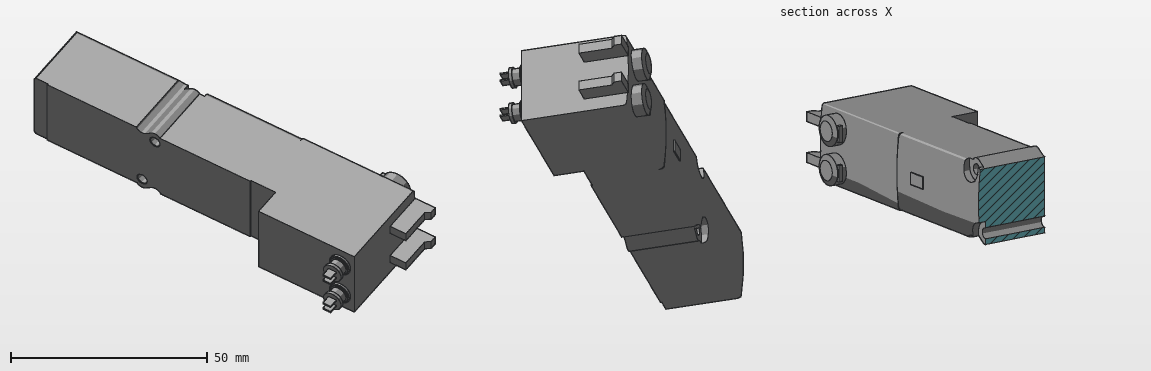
import cadquery as cq
import math

total_length = 108.5
half_height = 10.3
rear_y = 20.8

cap_length = 4.1
set_back = 0.3
body_step_x = 65.9
base_start_x = 68.8
block_start_x = 73.3
block_end_x = 102.4
block_front_y = -7.6
body_crown_drop = 0.8
base_crown_drop = 0.5
body_corner_radius = 1.3
base_corner_radius = 0.9
end_bevel_length = 0.5
end_bevel_height = 0.7

mount_mid_x = 34.9
mount_offset_x = 2.0
mount_hole_z = 8.0
mount_hole_dia = 2.8
mount_mouth_dia = 3.1
counterbore_dia = 6.1
counterbore_floor_y = 18.5
side_radius = 2.0
boss_rise = 0.8
notch_depth = 1.1

plate_x = 59.7
plate_length = 5.2
plate_width = 3.3
plate_y = 21.2

pair_z = 5.2
plug_x = 95.3
plug_dia = 8.1
plug_top_y = 24.1
plug_top_dia = 5.3
plug_bevel_height = 0.7
plug_tab_width = 4.3
plug_tab_height = 1.2
plug_tab_reach = 0.3
plug_tab_y = 22.7

connector_x = 98.3
connector_foot_dia = 6.1
connector_foot_height = 0.7
connector_shoulder_dia = 5.3
connector_shoulder_height = 0.3
connector_neck_dia = 4.5
connector_neck_height = 2.1
connector_rim_dia = 5.3
connector_rim_height = 0.9
blade_offset = 1.0
blade_width = 2.4
blade_thickness = 0.4
blade_length = 2.6

hook_z = 5.4
hook_width = 2.6
hook_shank_x = 107.2
hook_bottom_y = 9.1
hook_slope_y = 17.9
hook_lip_y = 18.9


def along_y(x, y, z):
    """Workplane at the given point whose normal is +Y."""
    return cq.Workplane(cq.Plane(origin=(x, y, z), xDir=(1, 0, 0), normal=(0, 1, 0)))


def box_between(x_range, y_range, z_range):
    (x0, x1), (y0, y1), (z0, z1) = x_range, y_range, z_range
    return cq.Workplane("XY").box(x1 - x0, y1 - y0, z1 - z0, centered=False).translate((x0, y0, z0))


def crowned_bar(start_x, end_x, front_y, crown_drop, corner_radius):
    """Straight bar with a crowned rear face and rounded rear corners."""
    shoulder_y = rear_y - crown_drop
    bar = (
        cq.Workplane("YZ", origin=(start_x, 0, 0))
        .moveTo(front_y, -half_height)
        .lineTo(shoulder_y, -half_height)
        .threePointArc((rear_y, 0), (shoulder_y, half_height))
        .lineTo(front_y, half_height)
        .close()
        .extrude(end_x - start_x)
    )
    return bar.edges("|X").edges(">Y").fillet(corner_radius)


def housing():
    body = crowned_bar(0, base_start_x, 0, body_crown_drop, body_corner_radius)
    cap_step = box_between((0, cap_length), (0, set_back), (-half_height, half_height))
    neck_step = box_between((body_step_x, base_start_x), (0, set_back), (-half_height, half_height))
    base = crowned_bar(base_start_x, block_end_x, set_back, base_crown_drop, base_corner_radius)
    block = box_between((block_start_x, block_end_x), (block_front_y, set_back), (-half_height, half_height))
    return body.cut(cap_step).cut(neck_step).union(base).union(block)


def end_bevel():
    """Wedge removed from the upper edge of the end cap."""
    return (
        cq.Workplane("XZ")
        .polyline([(0, half_height), (end_bevel_length, half_height), (0, half_height - end_bevel_height)])
        .close()
        .extrude(-rear_y)
    )


def side_form():
    """Upper-side boss and notch: two equal arcs joined by their inner tangent line."""
    notch_x = mount_mid_x - mount_offset_x
    boss_x = mount_mid_x + mount_offset_x
    notch_z = half_height - notch_depth + side_radius
    boss_z = half_height + boss_rise - side_radius
    dx = boss_x - notch_x
    dz = boss_z - notch_z
    slope = math.atan2(dz, dx) + math.asin(2 * side_radius / math.hypot(dx, dz))
    shift_x = side_radius * math.sin(slope)
    shift_z = side_radius * math.cos(slope)
    notch_tangent = (notch_x + shift_x, notch_z - shift_z)
    boss_tangent = (boss_x - shift_x, boss_z + shift_z)
    middle_z = (notch_z + boss_z) / 2
    crossing_x = mount_mid_x + (half_height - middle_z) / math.tan(slope)
    notch_half = math.sqrt(side_radius**2 - (notch_z - half_height) ** 2)
    boss_half = math.sqrt(side_radius**2 - (half_height - boss_z) ** 2)

    notch = (
        cq.Workplane("XZ")
        .moveTo(notch_x - notch_half, half_height)
        .threePointArc((notch_x, half_height - notch_depth), notch_tangent)
        .lineTo(crossing_x, half_height)
        .close()
        .extrude(-rear_y)
    )
    boss = (
        cq.Workplane("XZ")
        .moveTo(crossing_x, half_height)
        .lineTo(*boss_tangent)
        .threePointArc((boss_x, half_height + boss_rise), (boss_x + boss_half, half_height))
        .close()
        .extrude(-counterbore_floor_y)
    )
    return boss, notch


def mounting_hole():
    """Through hole with a beveled front mouth and a rear counterbore open to the side."""
    hole_x = mount_mid_x + mount_offset_x
    mouth_depth = (mount_mouth_dia - mount_hole_dia) / 2
    hole = along_y(hole_x, 0, mount_hole_z).circle(mount_hole_dia / 2).extrude(rear_y)
    mouth = (
        along_y(hole_x, 0, mount_hole_z)
        .circle(mount_mouth_dia / 2)
        .workplane(offset=mouth_depth)
        .circle(mount_hole_dia / 2)
        .loft()
    )
    pocket_depth = rear_y - counterbore_floor_y
    pocket_floor = along_y(hole_x, counterbore_floor_y, mount_hole_z)
    counterbore = pocket_floor.circle(counterbore_dia / 2).extrude(pocket_depth)
    side_opening = box_between(
        (hole_x - counterbore_dia / 2, hole_x + counterbore_dia / 2),
        (counterbore_floor_y, rear_y),
        (mount_hole_z, half_height),
    )
    return hole.union(mouth).union(counterbore).union(side_opening)


def half_turn(shape):
    """Copy of a mounting feature turned half way round the middle of the mount."""
    return shape.rotate((mount_mid_x, 0, 0), (mount_mid_x, 1, 0), 180)


def label_plate():
    half_length = plate_length / 2
    half_width = plate_width / 2
    return box_between(
        (plate_x - half_length, plate_x + half_length),
        (rear_y - body_crown_drop, plate_y),
        (-half_width, half_width),
    )


def rear_plug(z):
    root_y = rear_y - 2 * base_crown_drop
    plug = along_y(plug_x, root_y, z).circle(plug_dia / 2).extrude(plug_top_y - root_y)
    plug = plug.faces(">Y").chamfer(plug_bevel_height, (plug_dia - plug_top_dia) / 2)
    tab = box_between(
        (plug_x - plug_dia / 2 - plug_tab_reach, plug_x),
        (plug_tab_y - plug_tab_height / 2, plug_tab_y + plug_tab_height / 2),
        (z - plug_tab_width / 2, z + plug_tab_width / 2),
    )
    return plug.union(tab)


def front_connector(z):
    """Stack of discs growing out of the block, ending in two flat contact blades."""
    discs = [
        (connector_foot_dia, connector_foot_height),
        (connector_shoulder_dia, connector_shoulder_height),
        (connector_neck_dia, connector_neck_height),
        (connector_rim_dia, connector_rim_height),
    ]
    connector = cq.Workplane("XY")
    y = block_front_y
    for diameter, disc_height in discs:
        disc = along_y(connector_x, y, z).circle(diameter / 2).extrude(-disc_height)
        connector = connector.union(disc)
        y -= disc_height
    for side in (-1, 1):
        blade = along_y(connector_x, y, z + side * blade_offset).rect(blade_width, blade_thickness)
        connector = connector.union(blade.extrude(-blade_length))
    return connector


def latch_hook(z):
    return (
        cq.Workplane("XY", origin=(0, 0, z))
        .polyline(
            [
                (block_end_x, hook_bottom_y),
                (hook_shank_x, hook_bottom_y),
                (hook_shank_x, hook_slope_y),
                (total_length, hook_lip_y),
                (total_length, rear_y),
                (block_end_x, rear_y),
            ]
        )
        .close()
        .extrude(hook_width / 2, both=True)
    )


result = housing()

bevel = end_bevel()
result = result.cut(bevel).cut(bevel.mirror("XY"))

boss, notch = side_form()
hole = mounting_hole()
result = result.union(boss).union(half_turn(boss))
result = result.cut(notch).cut(half_turn(notch))
result = result.cut(hole).cut(half_turn(hole))

result = result.union(label_plate())
for side in (-1, 1):
    result = result.union(rear_plug(side * pair_z))
    result = result.union(front_connector(side * pair_z))
    result = result.union(latch_hook(side * hook_z))